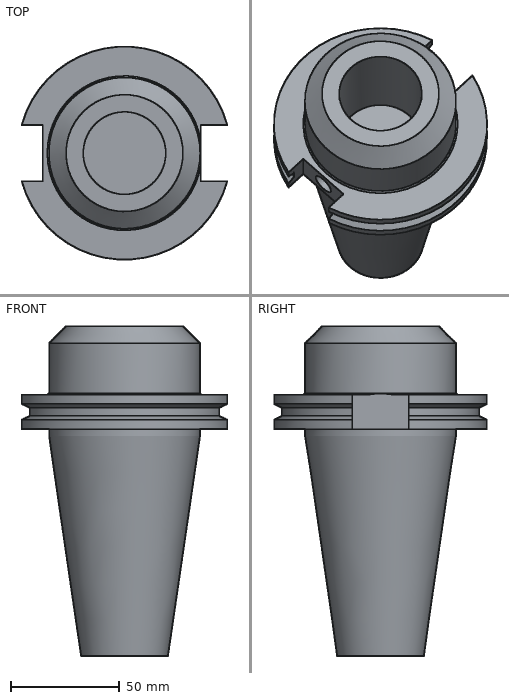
import cadquery as cq

total_length = 152.4
gauge_level = 101.7
collar_height = 3.2
flange_thickness = 15.8
flange_bottom = gauge_level + collar_height
flange_top = flange_bottom + flange_thickness
flange_middle = (flange_bottom + flange_top) / 2

taper_rate = 7 / 24
body_radius = 34.9
shank_end_radius = body_radius - gauge_level * taper_rate / 2

nose_chamfer = 8.0
root_chamfer = 0.8
bore_radius = 19.0
bore_depth = total_length - gauge_level

flange_radius = 49.2
groove_root_radius = 45.7
groove_root_width = 3.8
groove_mouth_width = 7.3

slot_width = 25.9
near_floor = 35.2
far_floor = 37.8

hole_radius = 4.9
hole_depth = 5.0


def turned_body():
    """Shank, flange and nose as one revolved outline."""
    mouth = groove_mouth_width / 2
    root = groove_root_width / 2
    outline = [
        (0, 0),
        (shank_end_radius, 0),
        (body_radius, gauge_level),
        (body_radius, flange_bottom),
        (flange_radius, flange_bottom),
        (flange_radius, flange_middle - mouth),
        (groove_root_radius, flange_middle - root),
        (groove_root_radius, flange_middle + root),
        (flange_radius, flange_middle + mouth),
        (flange_radius, flange_top),
        (body_radius + root_chamfer, flange_top),
        (body_radius, flange_top + root_chamfer),
        (body_radius, total_length - nose_chamfer),
        (body_radius - nose_chamfer, total_length),
        (0, total_length),
    ]
    return cq.Workplane("XZ").polyline(outline).close().revolve(360, (0, 0), (0, 1))


def drive_slot(side, floor):
    """Cutter for the slot on the +X (side = 1) or -X (side = -1) edge."""
    length = flange_radius - floor
    height = flange_thickness + root_chamfer
    return (
        cq.Workplane("XY", origin=(side * (floor + length / 2), 0, flange_bottom))
        .box(length, slot_width, height, centered=(True, True, False))
    )


def bore():
    return (
        cq.Workplane("XY", origin=(0, 0, total_length))
        .circle(bore_radius)
        .extrude(-bore_depth)
    )


def slot_hole():
    return (
        cq.Workplane("YZ", origin=(-far_floor, 0, flange_middle))
        .circle(hole_radius)
        .extrude(hole_depth)
    )


result = (
    turned_body()
    .cut(drive_slot(1, near_floor))
    .cut(drive_slot(-1, far_floor))
    .cut(bore())
    .cut(slot_hole())
)